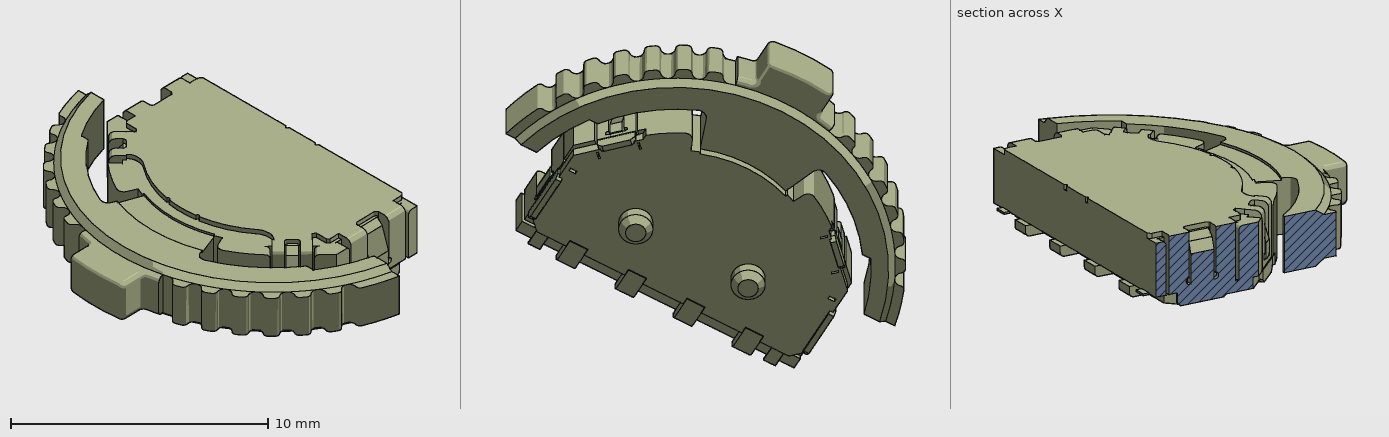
import cadquery as cq
import math

clearance = 1.0
tolerance = 0.02
overlap = 0.30

wheel_bottom = 0.38
wheel_top = 2.73
cover_top = 2.94
case_bottom = 0.47
case_top = wheel_top
peg_length = 0.74
spoke_recess = 0.10

rim_radius = 8.52
rim_chamfer = 0.26
tooth_radius = 8.925
bore_radius = 7.27
end_bore_radius = 7.58
end_bore_y = -4.20
wheel_end_y = -1.89
tooth_pitch = 8.0
first_valley_angle = 16.0
valley_count = 7
valley_radius = 0.30
valley_centre_radius = rim_radius + valley_radius
tooth_tip_fillet = 0.20
tooth_bottom = wheel_bottom + rim_chamfer
tooth_height = wheel_top - rim_chamfer - tooth_bottom

hub_radius = 5.55
spoke_step_radius = 6.71
spoke_half_angle = 20.2
spoke_fillet = 0.35

tab_half_width = 1.46
tab_radius = 9.95
tab_pad_radius = 8.84
tab_pad_half_angle = 14.2
tab_corner_fillet = 0.25
tab_root_fillet = 0.17
tab_edge_fillet = 0.25

case_half_width = 6.24
case_back_y = 1.63
diagonal_cut = 1.83
diagonal_normal_angle = -45
case_corner = (case_half_width, -2.84)
wing_start = (case_corner[0] - diagonal_cut, case_corner[1] - diagonal_cut)
wing_radius = math.hypot(*wing_start)
wing_end_angle = 24.0
wing_fillet = 0.30
notch_radius = 5.64

cover_front_radius = 5.08
cover_back_half_width = 5.42
cover_side_x = 5.53
cover_back_clip = 0.14
cover_claw_back_y = -2.59
cover_claw_tip = (4.79, -2.73)
cover_claw_run = 0.43
cover_claw_round = 0.10
cover_horn_start = (4.12, -4.22)
cover_horn_mid = (3.86, -3.94)
cover_horn_top = (3.50, -3.88)
cover_horn_blend = (3.27, -3.93)
cover_front_half_angle = 37.5
nick_radius = 0.08
nick_x = 0.80

flank_inset = 0.04
flank_depth = 0.57
flank_bend = 0.28
side_flank_gap = 0.12
diagonal_flank_gap = 0.07
recess_corner = 0.10
relief_width = 0.28
relief_lip_fillet = 0.20
side_flank_length = 3.03
side_flank_y = -0.49
side_latch_width = 1.05
side_foot_length = 2.30
diagonal_flank_length = 1.58
diagonal_flank_distance = 1.72
diagonal_latch_width = 0.48
diagonal_foot_length = 1.50
latch_gap = 0.07
slot_depth = 0.73
slot_corner = 0.16
window_bottom = 0.74
window_depth = 0.60
window_ear_radius = 0.13
latch_bend_z = 1.41
latch_top_z = 2.45
latch_top_inset = 0.34
foot_thickness = 0.24
foot_drop = 0.10
foot_chamfer = 0.18

base_half_width = 6.15
base_back_y = 1.02
base_back_chamfer = 0.50
base_edge_inset = 0.24
terminal_width = 0.80
terminal_x = (1.31, 3.94)
terminal_back_y = 1.79
terminal_bottom = -0.05
terminal_top = 0.41
terminal_fillet = 0.20
ground_tab_width = 0.54
ground_tab_x = 5.28
ground_tab_back_y = 1.89
ground_tab_thickness = 0.08
peg_x = 2.52
peg_y = -1.24
peg_diameter = 1.33
peg_chamfer = 0.27


def polar(radius, angle):
    """Point at an angle in degrees measured from -Y towards +X."""
    a = math.radians(angle)
    return (radius * math.sin(a), -radius * math.cos(a))


def disc(radius, bottom, height):
    return cq.Workplane("XY").workplane(offset=bottom).circle(radius).extrude(height)


def block(x0, x1, y0, y1, z0, z1):
    return cq.Workplane("XY").box(x1 - x0, y1 - y0, z1 - z0, centered=False).translate((x0, y0, z0))


def sector(radius, half_angle, bottom, height):
    """Pie slice about -Y with its tip on the wheel axis."""
    return (
        cq.Workplane("XY").workplane(offset=bottom)
        .lineTo(*polar(radius, -half_angle))
        .threePointArc(polar(radius, 0), polar(radius, half_angle))
        .close().extrude(height)
    )


def edges_at(body, corner):
    """Upright edges standing on a plan corner, on either side of the YZ plane."""
    return body.newObject([
        e for e in body.edges("|Z").vals()
        if math.hypot(abs(e.Center().x) - corner[0], e.Center().y - corner[1]) < tolerance
    ])


def both_sides(half):
    return half.union(half.mirror("YZ"))


def toothed_band():
    band = disc(tooth_radius, tooth_bottom, tooth_height)
    band = band.cut(
        sector(tooth_radius + clearance, first_valley_angle, tooth_bottom, tooth_height)
        .cut(disc(rim_radius, tooth_bottom, tooth_height))
    )
    angles = [first_valley_angle + k * tooth_pitch for k in range(valley_count)]
    centres = [polar(valley_centre_radius, s * a) for a in angles for s in (-1, 1)]
    valleys = (
        cq.Workplane("XY").workplane(offset=tooth_bottom)
        .pushPoints(centres).circle(valley_radius).extrude(tooth_height)
    )
    band = band.cut(valleys)
    tips = [
        e for e in band.edges("|Z").vals()
        if math.hypot(e.Center().x, e.Center().y) > tooth_radius - tolerance and e.Center().y < 0
    ]
    return band.newObject(tips).fillet(tooth_tip_fillet)


def finger_tab():
    tab = (
        disc(tab_radius, tooth_bottom, tooth_height)
        .intersect(block(-tab_half_width, tab_half_width, -tab_radius, -bore_radius - overlap,
                         tooth_bottom, wheel_top))
        .edges("|Z").edges("<Y").fillet(tab_corner_fillet)
    )
    pad = sector(tab_pad_radius, tab_pad_half_angle, tooth_bottom, tooth_height)
    pad = pad.cut(disc(bore_radius + overlap, tooth_bottom, tooth_height))
    tab = tab.union(pad)
    root_y = -math.sqrt(tab_pad_radius ** 2 - tab_half_width ** 2)
    tab = edges_at(tab, (tab_half_width, root_y)).fillet(tab_root_fillet)
    outer = [
        e for f in (">Z", "<Z") for e in tab.faces(f).edges().vals()
        if e.Center().y < -rim_radius
    ]
    return tab.newObject(outer).fillet(tab_edge_fillet)


def wheel():
    height = wheel_top - wheel_bottom
    rim = disc(rim_radius, wheel_bottom, height).faces("<Z or >Z").chamfer(rim_chamfer)
    ring = rim.union(toothed_band())
    ring = ring.cut(disc(bore_radius, wheel_bottom, height))
    end_relief = disc(end_bore_radius, wheel_bottom, height).intersect(
        block(-rim_radius, rim_radius, end_bore_y, rim_radius, wheel_bottom, wheel_top)
    )
    ring = ring.cut(end_relief)
    ring = ring.intersect(
        block(-tooth_radius, tooth_radius, -tooth_radius, wheel_end_y, wheel_bottom, wheel_top)
    )
    return ring.union(finger_tab())


def spoke():
    height = wheel_top - wheel_bottom
    web = sector(bore_radius + overlap, spoke_half_angle, wheel_bottom, height)
    web = web.cut(disc(hub_radius - overlap, wheel_bottom, height))
    return web.cut(disc(spoke_step_radius, wheel_top - spoke_recess, spoke_recess))


def wheel_with_spoke():
    joined = wheel().union(spoke())
    return edges_at(joined, polar(bore_radius, spoke_half_angle)).fillet(spoke_fillet)


def case_prism(bottom, height):
    """Straight back and sides, diagonal corners, round front wings and a notch for the spoke."""
    wing_angle = math.degrees(math.atan2(wing_start[0], -wing_start[1]))
    wing_mid = polar(wing_radius, (wing_angle + wing_end_angle) / 2)
    half = (
        cq.Workplane("XY").workplane(offset=bottom)
        .moveTo(0, case_back_y)
        .lineTo(case_half_width, case_back_y)
        .lineTo(*case_corner)
        .lineTo(*wing_start)
        .threePointArc(wing_mid, polar(wing_radius, wing_end_angle))
        .lineTo(*polar(notch_radius, wing_end_angle))
        .threePointArc(polar(notch_radius, (wing_end_angle + spoke_half_angle) / 2),
                       polar(notch_radius, spoke_half_angle))
        .lineTo(*polar(hub_radius, spoke_half_angle))
        .threePointArc(polar(hub_radius, spoke_half_angle / 2), polar(hub_radius, 0))
        .close().extrude(height)
    )
    half = edges_at(half, polar(wing_radius, wing_end_angle)).fillet(wing_fillet)
    return both_sides(half)


def base():
    height = case_bottom
    inset_corner_y = case_corner[1] + base_edge_inset
    trimmed = (
        cq.Workplane("XY")
        .polyline([
            (0, base_back_y),
            (base_half_width - base_back_chamfer, base_back_y),
            (base_half_width, base_back_y - base_back_chamfer),
            (base_half_width, inset_corner_y - (case_half_width - base_half_width)),
            (wing_start[0] - base_edge_inset, wing_start[1]),
            (wing_start[0] - base_edge_inset, -wing_radius),
            (0, -wing_radius),
        ])
        .close().extrude(height)
    )
    return case_prism(0, height).intersect(both_sides(trimmed))


def cover_plate():
    """Thin top sheet; its front edge is a round arc that sweeps back near the diagonals."""
    tip_x, tip_y = cover_claw_tip
    half = (
        cq.Workplane("XY").workplane(offset=case_top)
        .moveTo(0, case_back_y)
        .lineTo(cover_back_half_width, case_back_y)
        .lineTo(cover_side_x, case_back_y - cover_back_clip)
        .lineTo(cover_side_x, cover_claw_back_y + cover_claw_round)
        .lineTo(cover_side_x - cover_claw_round, cover_claw_back_y)
        .lineTo(tip_x + cover_claw_round, cover_claw_back_y)
        .lineTo(tip_x, tip_y)
        .lineTo(tip_x + cover_claw_run, tip_y - cover_claw_run)
        .lineTo(*cover_horn_start)
        .threePointArc(cover_horn_mid, cover_horn_top)
        .threePointArc(cover_horn_blend, polar(cover_front_radius, cover_front_half_angle))
        .threePointArc(polar(cover_front_radius, cover_front_half_angle / 2), polar(cover_front_radius, 0))
        .close().extrude(cover_top - case_top)
    )
    front_nick_y = -math.sqrt(cover_front_radius ** 2 - nick_x ** 2)
    nicks = (
        cq.Workplane("XY").workplane(offset=case_top)
        .pushPoints([(nick_x, case_back_y), (nick_x, front_nick_y)])
        .circle(nick_radius).extrude(cover_top - case_top)
    )
    return both_sides(half.cut(nicks))


def flank_recess(length, gap):
    half = length / 2 + gap
    recess = block(-flank_depth, clearance, -half, half, case_bottom, cover_top)
    return recess.edges("|Z and <X").fillet(recess_corner)


def flank_lips(length, gap):
    """Cutters that round the case edges beside the flank."""
    half = length / 2 + gap
    r = relief_lip_fillet
    lip = block(-flank_depth, clearance, half, half + r, case_top - r, case_top)
    roll = (
        cq.Workplane("YZ").workplane(offset=-flank_depth)
        .center(half + r, case_top - r).circle(r).extrude(clearance + flank_depth)
    )
    lip = lip.cut(roll)
    return lip.union(lip.mirror("XZ"))


def flank_relief(length, gap):
    """Openings through the base at both ends of the flank."""
    start = length / 2
    hole = block(-flank_depth, relief_width - flank_depth, start, start + gap, 0, cover_top)
    return hole.union(hole.mirror("XZ"))


def flank(length, foot_length):
    sheet = block(-slot_depth, -flank_inset, -length / 2, length / 2, case_bottom, cover_top)
    sheet = sheet.edges(">X and >Z").fillet(flank_bend)
    foot = block(-foot_thickness, 0, -foot_length / 2, foot_length / 2, -foot_drop, case_bottom)
    foot = foot.edges("|X and <Z").chamfer(foot_chamfer)
    return sheet.union(foot)


def latch_window(latch_width):
    half = latch_width / 2 + latch_gap
    window = block(-window_depth, clearance, -half, half, window_bottom, cover_top)
    slot = block(-slot_depth, clearance, -half, half, case_top, cover_top)
    slot = slot.edges("|Z and <X").fillet(slot_corner)
    ears = (
        cq.Workplane("YZ").workplane(offset=-latch_top_inset)
        .pushPoints([(s * half, window_bottom + window_ear_radius) for s in (-1, 1)])
        .circle(window_ear_radius).extrude(clearance)
    )
    return window.union(slot).union(ears)


def latch(latch_width):
    return (
        cq.Workplane("XZ").workplane(offset=-latch_width / 2)
        .polyline([
            (-window_depth, window_bottom),
            (0, window_bottom),
            (0, latch_bend_z),
            (-latch_top_inset, latch_top_z),
            (-window_depth, case_top),
        ])
        .close().extrude(latch_width)
    )


def diagonal_placement():
    """Flank centre on the 45 degree edge and the angle of the outward normal."""
    step = diagonal_flank_distance * math.sqrt(0.5)
    return (case_corner[0] - step, case_corner[1] - step), diagonal_normal_angle


def with_flanks(case, centre, angle, length, gap, latch_width, foot_length):
    """Recess the case edge on both sides and fit a bent flank, its window and its latch."""
    def place(shape):
        return both_sides(shape.rotate((0, 0, 0), (0, 0, 1), angle).translate((*centre, 0)))

    case = case.cut(place(flank_recess(length, gap).union(flank_lips(length, gap))))
    case = case.union(place(flank(length, foot_length)))
    case = case.cut(place(latch_window(latch_width).union(flank_relief(length, gap))))
    return case.union(place(latch(latch_width)))


def covered_case():
    case = case_prism(case_bottom, case_top - case_bottom).union(base()).union(cover_plate())
    case = with_flanks(case, (case_half_width, side_flank_y), 0, side_flank_length, side_flank_gap,
                       side_latch_width, side_foot_length)
    centre, angle = diagonal_placement()
    return with_flanks(case, centre, angle, diagonal_flank_length, diagonal_flank_gap,
                       diagonal_latch_width, diagonal_foot_length)


def terminals():
    parts = None
    for x in terminal_x:
        strip = block(x - terminal_width / 2, x + terminal_width / 2, base_back_y - overlap,
                      terminal_back_y, terminal_bottom, terminal_top)
        strip = strip.edges(">Y and <Z").fillet(terminal_fillet)
        parts = strip if parts is None else parts.union(strip)
    tab = block(ground_tab_x - ground_tab_width / 2, ground_tab_x + ground_tab_width / 2, base_back_y,
                ground_tab_back_y, case_bottom - ground_tab_thickness / 2,
                case_bottom + ground_tab_thickness / 2)
    return both_sides(parts.union(tab))


def pegs():
    return (
        cq.Workplane("XY").workplane(offset=-peg_length)
        .pushPoints([(-peg_x, peg_y), (peg_x, peg_y)])
        .circle(peg_diameter / 2).extrude(peg_length + case_bottom)
        .faces("<Z").chamfer(peg_chamfer)
    )


result = covered_case().union(wheel_with_spoke()).union(terminals()).union(pegs())